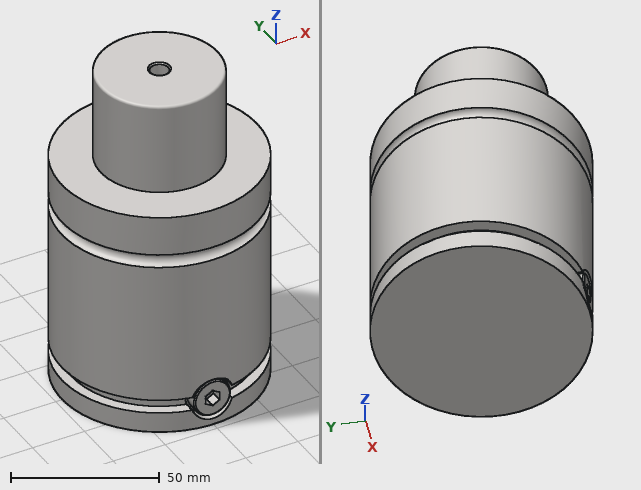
import cadquery as cq

total_height = 123.0
body_diameter = 75.0
body_height = 88.0
rod_diameter = 45.0
rod_edge_radius = 1.0

round_groove_z = 70.1
round_groove_radius = 2.6
square_groove_bottom = 7.9
square_groove_width = 5.2
square_groove_depth = 3.9

rod_hole_diameter = 6.8
rod_hole_mouth_diameter = 7.9
rod_hole_depth = 14.8
drill_point_ratio = 0.6

plug_z = square_groove_bottom + square_groove_width / 2
plug_diameter = 14.0
plug_face_radius = 37.0
plug_chamfer = 0.5
plug_pocket_diameter = 16.0
plug_pocket_floor = 32.0
hex_across_corners = 6.2
hex_depth = 4.3

body_radius = body_diameter / 2
rod_radius = rod_diameter / 2


def make_cylinder_and_rod():
    """Revolve the body with its two grooves and the round-edged rod."""
    groove_floor_radius = body_radius - square_groove_depth
    square_groove_top = square_groove_bottom + square_groove_width
    return (
        cq.Workplane("XZ")
        .lineTo(body_radius, 0)
        .lineTo(body_radius, square_groove_bottom)
        .lineTo(groove_floor_radius, square_groove_bottom)
        .lineTo(groove_floor_radius, square_groove_top)
        .lineTo(body_radius, square_groove_top)
        .lineTo(body_radius, round_groove_z - round_groove_radius)
        .threePointArc(
            (body_radius - round_groove_radius, round_groove_z),
            (body_radius, round_groove_z + round_groove_radius),
        )
        .lineTo(body_radius, body_height)
        .lineTo(rod_radius, body_height)
        .lineTo(rod_radius, total_height - rod_edge_radius)
        .radiusArc((rod_radius - rod_edge_radius, total_height), -rod_edge_radius)
        .lineTo(0, total_height)
        .close()
        .revolve(360, (0, 0, 0), (0, 1, 0))
    )


def make_rod_hole():
    """Blind hole with a countersunk mouth and a conical bottom."""
    hole_radius = rod_hole_diameter / 2
    mouth_radius = rod_hole_mouth_diameter / 2
    floor_z = total_height - rod_hole_depth
    return (
        cq.Workplane("XZ")
        .moveTo(0, total_height)
        .lineTo(mouth_radius, total_height)
        .lineTo(hole_radius, total_height - (mouth_radius - hole_radius))
        .lineTo(hole_radius, floor_z)
        .lineTo(0, floor_z - drill_point_ratio * hole_radius)
        .close()
        .revolve(360, (0, 0, 0), (0, 1, 0))
    )


def front_plane(distance):
    """Plane facing -Y, centred on the plug at a distance from the body axis."""
    return cq.Workplane("XZ", origin=(0, -distance, plug_z))


def make_plug_pocket():
    depth = body_radius - plug_pocket_floor
    return front_plane(plug_pocket_floor).circle(plug_pocket_diameter / 2).extrude(depth)


def make_plug():
    """Chamfered round plug with a hexagon socket, two corners pointing along Z."""
    plug = (
        front_plane(plug_pocket_floor)
        .circle(plug_diameter / 2)
        .extrude(plug_face_radius - plug_pocket_floor)
        .faces("<Y")
        .chamfer(plug_chamfer)
    )
    socket = (
        front_plane(plug_face_radius)
        .transformed(rotate=(0, 0, 90))
        .polygon(6, hex_across_corners)
        .extrude(-hex_depth)
    )
    return plug.cut(socket)


result = (
    make_cylinder_and_rod()
    .cut(make_rod_hole())
    .cut(make_plug_pocket())
    .union(make_plug())
)